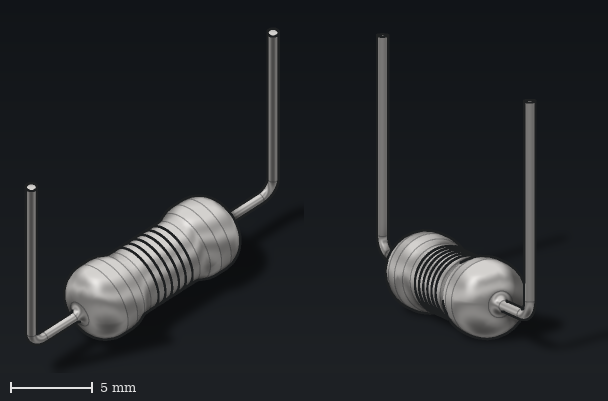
import cadquery as cq
import math


lead_diameter = 0.7
lead_spacing = 20.0
lead_top_z = 13.6
bend_radius = 1.05
lead_radius = lead_diameter / 2
lead_y = lead_spacing / 2

body_length = 12.0
cap_diameter = 5.0
waist_diameter = 4.27
cap_round = 1.73
neck_fillet = 0.5
cap_straight_inner = 3.47
flare_inflection = 2.72
body_end = body_length / 2
cap_radius = cap_diameter / 2
waist_radius = waist_diameter / 2
cap_straight_outer = body_end - cap_round
waist_end = 2.03

groove_diameter = 4.25
groove_width = 0.56
groove_pitch = 1.125
groove_count = 3

COS_45 = math.cos(math.pi / 4)
flare_angle = 2 * math.atan((cap_radius - waist_radius) / (cap_straight_inner - waist_end))


def flare_drop(length, angle):
    """Radial change of an arc that starts along the axis and turns through angle over length."""
    return length * math.tan(angle / 2)


def point_on_circle(center, radius, angle):
    """Point on a circle in the (radial, Y) plane, with the angle measured from the radial direction."""
    return (center[0] + radius * math.cos(angle), center[1] + radius * math.sin(angle))


def half_body():
    """The +Y half of the body, from its middle plane to the end of the lead flare."""
    convex_length = cap_straight_inner - flare_inflection
    concave_length = flare_inflection - waist_end
    convex_radius = convex_length / math.sin(flare_angle)
    concave_radius = concave_length / math.sin(flare_angle)
    half_angle = flare_angle / 2

    concave_mid = (
        waist_radius + concave_radius * (1 - math.cos(half_angle)),
        waist_end + concave_radius * math.sin(half_angle),
    )
    inflection = (waist_radius + flare_drop(concave_length, flare_angle), flare_inflection)
    convex_mid = (
        cap_radius - convex_radius * (1 - math.cos(half_angle)),
        cap_straight_inner - convex_radius * math.sin(half_angle),
    )

    cap_center = (cap_radius - cap_round, cap_straight_outer)
    neck_center_radius = lead_radius + neck_fillet
    center_distance = cap_round + neck_fillet
    neck_tilt = math.asin((neck_center_radius - cap_center[0]) / center_distance)
    neck_center = (neck_center_radius, cap_straight_outer + center_distance * math.cos(neck_tilt))
    cap_end_angle = math.pi / 2 - neck_tilt
    cap_mid = point_on_circle(cap_center, cap_round, cap_end_angle / 2)
    cap_end = point_on_circle(cap_center, cap_round, cap_end_angle)
    neck_start_angle = cap_end_angle + math.pi
    neck_mid = point_on_circle(neck_center, neck_fillet, (neck_start_angle + math.pi) / 2)
    neck_end = (lead_radius, neck_center[1])

    profile = (
        cq.Workplane("XY")
        .lineTo(waist_radius, 0)
        .lineTo(waist_radius, waist_end)
        .threePointArc(concave_mid, inflection)
        .threePointArc(convex_mid, (cap_radius, cap_straight_inner))
        .lineTo(cap_radius, cap_straight_outer)
        .threePointArc(cap_mid, cap_end)
        .threePointArc(neck_mid, neck_end)
        .lineTo(0, neck_end[1])
        .close()
    )
    return profile.revolve(360, (0, 0, 0), (0, 1, 0))


def groove(center_y):
    """Ring to cut away for one groove around the waist."""
    return (
        cq.Workplane("XZ", origin=(0, center_y + groove_width / 2, 0))
        .circle(cap_radius)
        .circle(groove_diameter / 2)
        .extrude(groove_width)
    )


def leads():
    """One continuous wire through the body, bent up at both ends."""
    bend_y = lead_y - bend_radius
    bend_mid_y = bend_y + bend_radius * COS_45
    bend_mid_z = bend_radius * (1 - COS_45)
    path = (
        cq.Workplane("YZ")
        .moveTo(-lead_y, lead_top_z)
        .lineTo(-lead_y, bend_radius)
        .threePointArc((-bend_mid_y, bend_mid_z), (-bend_y, 0))
        .lineTo(bend_y, 0)
        .threePointArc((bend_mid_y, bend_mid_z), (lead_y, bend_radius))
        .lineTo(lead_y, lead_top_z)
    )
    return (
        cq.Workplane("XY", origin=(0, -lead_y, lead_top_z))
        .circle(lead_radius)
        .sweep(path)
    )


half = half_body()
body = half.union(half.mirror("XZ"))
for index in range(groove_count):
    body = body.cut(groove((index - (groove_count - 1) / 2) * groove_pitch))

result = body.union(leads())